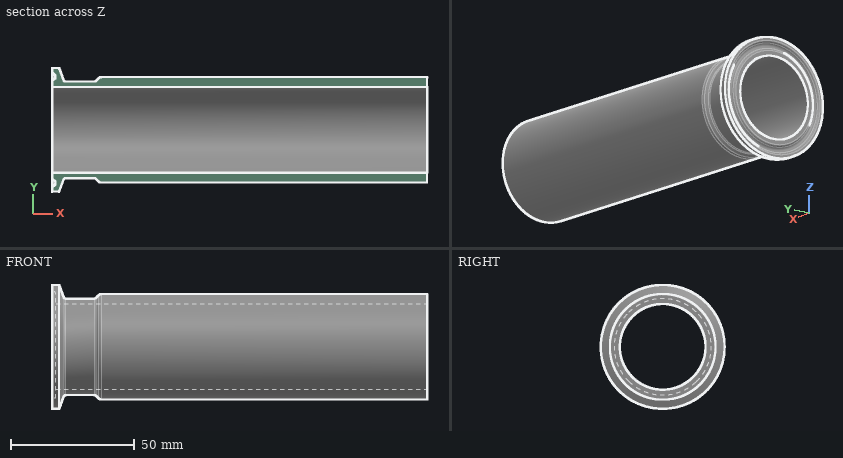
import cadquery as cq
import math

length = 152.4
bore_radius = 34.7 / 2
flange_radius = 50.5 / 2
neck_radius = 39.3 / 2
body_radius = 43.0 / 2

rim_width = 2.9
flange_back_angle = math.radians(20)
neck_fillet = 0.8

neck_end = 17.5
shoulder_angle = math.radians(45)
shoulder_fillet = 0.9
shoulder_round = 1.5

end_round = 0.3

groove_center_radius = 21.6
groove_bottom_radius = 1.2
groove_lip_radius = 1.0
groove_wall_angle = math.radians(65)


def make_tube():
    """Revolve the wall section, drawn as (x, radius), about the X axis."""
    cone_angle = math.pi / 2 - flange_back_angle
    cone_end = rim_width + (flange_radius - neck_radius) / math.tan(cone_angle)
    shoulder_end = neck_end + (body_radius - neck_radius) / math.tan(shoulder_angle)
    section = (
        cq.Workplane("XY")
        .moveTo(0, bore_radius)
        .lineTo(0, flange_radius)
        .lineTo(rim_width, flange_radius)
        .lineTo(cone_end, neck_radius)
        .lineTo(neck_end, neck_radius)
        .lineTo(shoulder_end, body_radius)
        .lineTo(length, body_radius)
        .lineTo(length, bore_radius)
        .close()
    )
    tube = section.revolve(360, (0, 0, 0), (1, 0, 0))
    for x, edge_radius, fillet_radius in (
        (cone_end, neck_radius, neck_fillet),
        (neck_end, neck_radius, shoulder_fillet),
        (shoulder_end, body_radius, shoulder_round),
        (length, body_radius, end_round),
    ):
        tube = round_edge(tube, x, edge_radius, fillet_radius)
    return tube


def round_edge(tube, x, edge_radius, fillet_radius):
    """Fillet the circular edge of the given radius lying at x."""
    near = 0.02
    reach = edge_radius + near
    box = cq.selectors.BoxSelector((x - near, -reach, -reach), (x + near, reach, reach), boundingbox=True)
    ring = tube.edges(box).edges(cq.selectors.RadiusNthSelector(-1))
    return ring.fillet(fillet_radius)


def make_groove():
    """Ring cutter whose lips and bottom arc meet tangentially."""
    reach = groove_bottom_radius + groove_lip_radius
    half_width = reach * math.sin(groove_wall_angle)
    depth = reach * (1 - math.cos(groove_wall_angle))
    join_offset = groove_bottom_radius * math.sin(groove_wall_angle)
    join_depth = groove_lip_radius * (1 - math.cos(groove_wall_angle))
    mid_lip_offset = half_width - groove_lip_radius * math.sin(groove_wall_angle / 2)
    mid_lip_depth = groove_lip_radius * (1 - math.cos(groove_wall_angle / 2))

    def at(depth_in_face, offset):
        return (depth_in_face, groove_center_radius + offset)

    section = (
        cq.Workplane("XY")
        .moveTo(*at(0, half_width))
        .threePointArc(at(mid_lip_depth, mid_lip_offset), at(join_depth, join_offset))
        .threePointArc(at(depth, 0), at(join_depth, -join_offset))
        .threePointArc(at(mid_lip_depth, -mid_lip_offset), at(0, -half_width))
        .close()
    )
    return section.revolve(360, (0, 0, 0), (1, 0, 0))


result = make_tube().cut(make_groove())